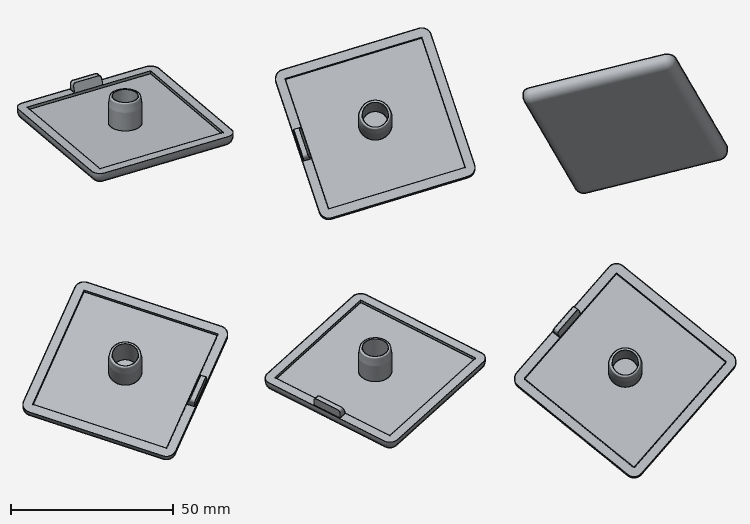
import cadquery as cq

plate_side = 50.0
plate_height = 4.1
edge_radius = 3.0

rim_width = 3.0
recess_depth = 1.0
recess_side = plate_side - 2 * rim_width
floor_z = plate_height - recess_depth

overall_height = 12.5
peg_radius = 5.2
peg_tip_radius = 4.75
peg_taper_start_z = 9.45
peg_tip_rounding = 0.4
bore_radius = 4.0

tab_setback = 0.25
tab_length = 10.0
tab_top_z = 7.05
tab_top_width = 1.65
tab_end_radius = 1.0
tab_outer_x = -plate_side / 2 + tab_setback
tab_inner_x = -recess_side / 2


def make_plate():
    """Rounded square plate with the recess cut into its top face."""
    plate = (
        cq.Workplane("XY")
        .rect(plate_side, plate_side)
        .extrude(plate_height)
        .edges("|Z")
        .fillet(edge_radius)
        .faces("<Z")
        .edges()
        .fillet(edge_radius)
    )
    recess = (
        cq.Workplane("XY")
        .workplane(offset=floor_z)
        .rect(recess_side, recess_side)
        .extrude(recess_depth)
    )
    return plate.cut(recess)


def make_peg():
    """Hollow peg with a tapered upper part and a rounded outer tip."""
    profile = (
        cq.Workplane("XZ")
        .moveTo(bore_radius, floor_z)
        .lineTo(peg_radius, floor_z)
        .lineTo(peg_radius, peg_taper_start_z)
        .lineTo(peg_tip_radius, overall_height)
        .lineTo(bore_radius, overall_height)
        .close()
    )
    peg = profile.revolve(360, (0, 0, 0), (0, 1, 0))
    tip_edge = peg.faces(">Z").edges(cq.selectors.RadiusNthSelector(-1))
    return tip_edge.fillet(peg_tip_rounding)


def make_tab():
    """Tab with a sloping inner face and rounded upper ends."""
    tab = (
        cq.Workplane("XZ")
        .moveTo(tab_outer_x, plate_height)
        .lineTo(tab_inner_x, plate_height)
        .lineTo(tab_outer_x + tab_top_width, tab_top_z)
        .lineTo(tab_outer_x, tab_top_z)
        .close()
        .extrude(tab_length / 2, both=True)
    )
    return tab.faces(">Z").edges("|X").fillet(tab_end_radius)


result = make_plate().union(make_peg()).union(make_tab())